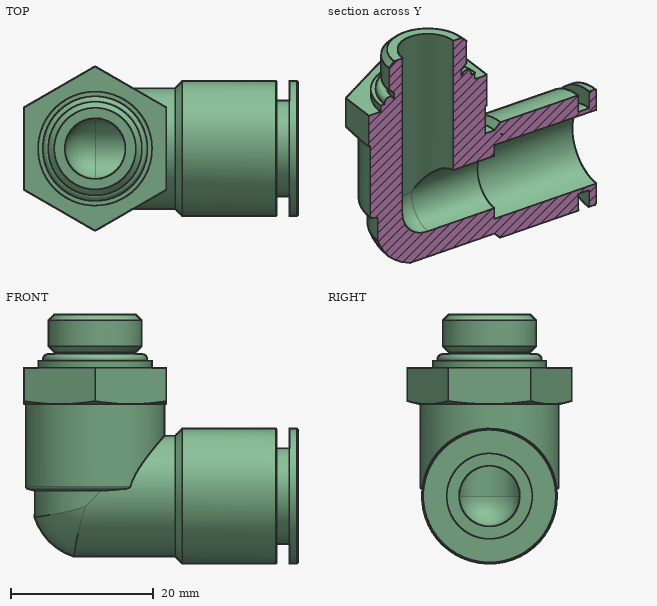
import cadquery as cq
import math


stud_top = 25.5
thread_diameter = 13.16
relief_diameter = 11.45
thread_chamfer = (thread_diameter - relief_diameter) / 2
thread_length = 5.3
collar_diameter = 16.0
collar_length = 1.0
collar_top = 19.0
seal_outer_diameter = 14.7
seal_top = 19.95

hex_flats = 20.0
hex_height = 5.1
hex_bevel_diameter = 19.8
hex_top = collar_top - collar_length
hex_bottom = hex_top - hex_height
swivel_diameter = 19.5
swivel_bottom = 0.75
swivel_fillet = 0.4
bevel_slope = math.tan(math.radians(15))

elbow_diameter = 17.0
ball_offset = 0.4
trim_start = 0.8

socket_diameter = 19.0
socket_cone_start = 11.25
socket_cone_length = (socket_diameter - elbow_diameter) / 2
socket_end = 25.5
socket_edge = 0.15
neck_diameter = 13.5
flange_diameter = 19.0
flange_start = 27.25
flange_end = 28.5
flange_edge = 0.2

bore_diameter = 8.5
tube_diameter = 12.0


def z_cylinder(diameter, bottom, top):
    return cq.Workplane("XY").workplane(offset=bottom).circle(diameter / 2).extrude(top - bottom)


def x_cylinder(diameter, start, end):
    return cq.Workplane("YZ").workplane(offset=start).circle(diameter / 2).extrude(end - start)


def revolve_about_z(outline):
    return outline.revolve(360, (0, 0, 0), (0, 1, 0))


def make_stud():
    thread = z_cylinder(thread_diameter, stud_top - thread_length, stud_top).edges().chamfer(thread_chamfer)
    relief = z_cylinder(relief_diameter, hex_top, stud_top - thread_length / 2)
    collar = z_cylinder(collar_diameter, hex_top, collar_top)
    seal_radius = (seal_outer_diameter - relief_diameter) / 4
    seal_ring_radius = relief_diameter / 2 + seal_radius
    seal_section = cq.Workplane("XZ").moveTo(seal_ring_radius, seal_top - seal_radius).circle(seal_radius)
    seal = revolve_about_z(seal_section)
    return thread.union(relief).union(collar).union(seal)


def make_hexagon():
    prism = (
        cq.Workplane("XY")
        .workplane(offset=hex_bottom)
        .polygon(6, hex_flats, circumscribed=True)
        .extrude(hex_height)
    )
    cone_radius = hex_bevel_diameter / 2
    envelope = revolve_about_z(
        cq.Workplane("XZ")
        .moveTo(0, hex_bottom)
        .lineTo(cone_radius, hex_bottom)
        .lineTo(cone_radius + hex_height / bevel_slope, hex_top)
        .lineTo(0, hex_top)
        .close()
    )
    return prism.intersect(envelope)


def make_elbow():
    reach = elbow_diameter
    side_end = socket_cone_start + socket_cone_length
    corner = z_cylinder(elbow_diameter, -reach, reach).intersect(x_cylinder(elbow_diameter, -reach, reach))
    upper_arm = z_cylinder(elbow_diameter, 0, hex_bottom)
    side_arm = x_cylinder(elbow_diameter, 0, side_end)
    ball = cq.Workplane("XY").sphere(elbow_diameter / 2).translate((-ball_offset, 0, -ball_offset))
    trim = (
        cq.Workplane("XY")
        .box(reach, 2 * reach, reach)
        .translate((-trim_start - reach / 2, 0, -trim_start - reach / 2))
        .cut(ball)
    )
    return corner.cut(trim).union(upper_arm).union(side_arm)


def make_swivel():
    swivel_radius = swivel_diameter / 2
    elbow_radius = elbow_diameter / 2
    rim_height = swivel_bottom + (swivel_radius - elbow_radius) * bevel_slope
    body = revolve_about_z(
        cq.Workplane("XZ")
        .moveTo(0, swivel_bottom)
        .lineTo(elbow_radius, swivel_bottom)
        .lineTo(swivel_radius, rim_height)
        .lineTo(swivel_radius, hex_bottom)
        .lineTo(0, hex_bottom)
        .close()
    )
    return body.faces("%CYLINDER").edges("%CIRCLE and <Z").fillet(swivel_fillet)


def make_socket():
    body = (
        x_cylinder(socket_diameter, socket_cone_start, socket_end)
        .faces("<X").edges().chamfer(socket_cone_length)
        .faces(">X").edges().chamfer(socket_edge)
    )
    neck = x_cylinder(neck_diameter, socket_end, flange_end)
    flange = x_cylinder(flange_diameter, flange_start, flange_end).faces(">X").edges().chamfer(flange_edge)
    return body.union(neck).union(flange)


def make_passage():
    bend = cq.Workplane("XY").sphere(bore_diameter / 2)
    stud_bore = z_cylinder(bore_diameter, 0, stud_top)
    side_bore = x_cylinder(bore_diameter, 0, socket_end)
    tube_bore = x_cylinder(tube_diameter, socket_cone_start, flange_end)
    return bend.union(stud_bore).union(side_bore).union(tube_bore)


outside = make_elbow().union(make_swivel()).union(make_hexagon()).union(make_stud()).union(make_socket())
result = outside.cut(make_passage())